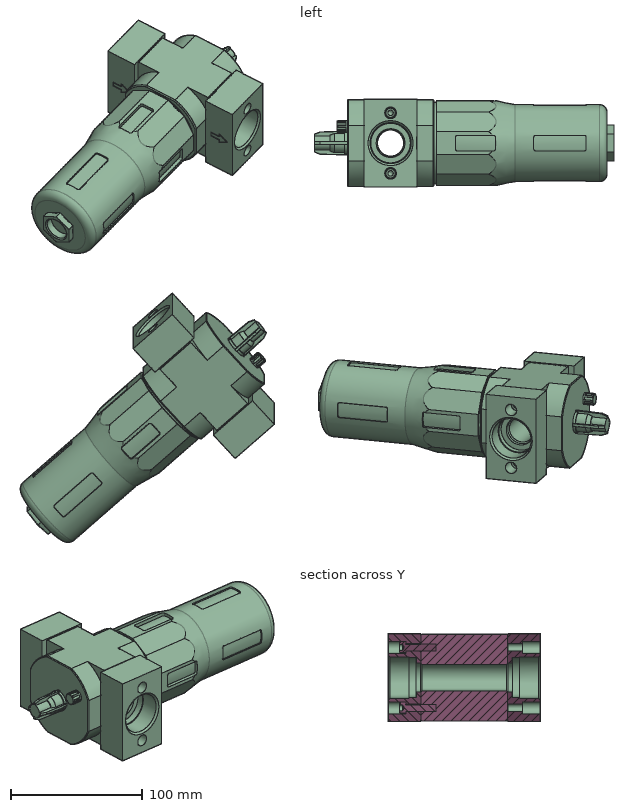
import cadquery as cq
import math


overall_length = 228.0
overall_width = 116.0
plate_height = 67.0

dome_top_y = 58.0
housing_top_y = 32.8
housing_bottom_y = -33.0
sleeve_top_y = -34.9
cone_end_y = -94.8
sleeve_end_y = -164.8
plug_end_y = dome_top_y - overall_length

housing_width = 66.3
housing_flat_width = 27.0
housing_radius = math.hypot(housing_width / 2, housing_flat_width / 2)
housing_top_chamfer = 0.7
housing_bottom_chamfer = 1.0
arm_length = 31.5
arm_chamfer = 1.0
neck_radius = 31.2
passage_diameter = 19.8
passage_mouth_diameter = 22.0

plate_length = 40.1
plate_inner_x = housing_width / 2
plate_outer_x = overall_width / 2
plate_thickness = plate_outer_x - plate_inner_x
thread_diameter = 31.2
thread_depth = 16.0
port_mouth_diameter = 34.2
port_chamfer = (port_mouth_diameter - thread_diameter) / 2
port_diameter = 30.0
port_depth = 21.5
arrow_length = 15.3
arrow_shaft_width = 3.6
arrow_head_width = 9.1
arrow_depth = 0.5

screw_offset = 23.0
screw_hole_diameter = 5.2
counterbore_diameter = 9.0
counterbore_depth = 13.7
screw_seat_x = -plate_outer_x + counterbore_depth
screw_diameter = 5.0
screw_length = 22.8
screw_head_diameter = 8.5
screw_head_height = 5.0
screw_head_chamfer = 0.7
screw_socket_diameter = 4.0
screw_socket_depth = 2.3
drill_tip_angle = 118.0

sleeve_sides = 12
sleeve_across_flats = 64.8
sleeve_radius = 29.5
cone_half_angle = 11.5
sleeve_end_fillet = 6.0
window_width = 11.9
window_corner_radius = 1.4
grip_window_top_y = -49.5
grip_window_bottom_y = -79.8
grip_window_floor_radius = 30.0
bowl_window_top_y = -109.0
bowl_window_bottom_y = -148.9
bowl_window_floor_radius = 28.3

plug_sides = 6
plug_across_flats = 24.0
plug_hole_diameter = 18.0
plug_hole_chamfer = 1.0
plug_hole_depth = 6.5
plug_spigot_diameter = 23.0
plug_spigot_length = 4.5

knob_x = -20.7
knob_z = 12.5
knob_diameter = 9.3
knob_height = 8.0
knob_chamfer = 0.7
knob_groove_count = 8
knob_groove_start_angle = 19.0
knob_groove_width = 2.0
knob_groove_depth = 0.57
knob_collar_height = 1.1

fin_thickness = 2.0
fin_base_half_width = 9.1
fin_shoulder_half_width = 8.55
fin_tip_half_width = 6.8
fin_bevel_height = 4.3
stem_radius = 5.5
dome_step_y = 46.3
dome_crown_radius = 6.05
dome_crown_height = 3.5
dome_radius = 7.4
dome_foot_radius = 8.2
dome_foot_height = 2.0


def disc(diameter, start_y, end_y):
    """Round bar along Y."""
    return cq.Workplane("XZ", origin=(0, start_y, 0)).circle(diameter / 2).extrude(start_y - end_y)


def prism(sides, across_flats, start_y, end_y, turn):
    """Regular prism along Y, turned about its axis by the given angle."""
    corner_diameter = across_flats / math.cos(math.pi / sides)
    blank = cq.Workplane("XZ", origin=(0, start_y, 0)).polygon(sides, corner_diameter)
    return blank.extrude(start_y - end_y).rotate((0, 0, 0), (0, 1, 0), turn)


def turned(points):
    """Body of revolution about the Y axis from (radius, y) points."""
    return cq.Workplane("XY").polyline(points).close().revolve(360, (0, 0, 0), (0, 1, 0))


def bar_x(diameter, start_x, end_x, z=0.0):
    """Round bar along X."""
    return cq.Workplane("YZ", origin=(start_x, 0, z)).circle(diameter / 2).extrude(end_x - start_x)


def make_housing():
    body = disc(2 * housing_radius, housing_top_y, housing_bottom_y)
    flats = cq.Workplane("XY").box(housing_width, 4 * housing_radius, housing_width)
    body = body.intersect(flats)
    body = body.faces(">Y").chamfer(housing_top_chamfer)
    body = body.faces("<Y").chamfer(housing_bottom_chamfer)

    arms = cq.Workplane("XY").box(housing_width, arm_length, housing_width)
    arms = arms.edges("|Y").chamfer(arm_chamfer)
    neck = disc(2 * neck_radius, housing_bottom_y, sleeve_top_y)
    body = body.union(arms).union(neck)

    passage = bar_x(passage_diameter, -plate_inner_x, plate_inner_x)
    body = body.cut(passage)
    mouth_chamfer = (passage_mouth_diameter - passage_diameter) / 2
    body = body.faces("<X or >X").edges("%CIRCLE").chamfer(mouth_chamfer)

    for z in (-screw_offset, screw_offset):
        body = body.cut(bar_x(screw_diameter, -plate_inner_x, screw_seat_x + screw_length, z))
    return body


def make_plate(side):
    """Port plate on the -X side (side = -1) or the +X side (side = 1)."""
    outer_x = side * plate_outer_x
    inner_x = side * plate_inner_x
    middle_x = (outer_x + inner_x) / 2
    plate = cq.Workplane("XY").box(plate_thickness, plate_length, plate_height)
    plate = plate.translate((middle_x, 0, 0))

    plate = plate.cut(bar_x(thread_diameter, outer_x, outer_x - side * thread_depth))
    outer_face = ">X" if side > 0 else "<X"
    plate = plate.faces(outer_face).edges("%CIRCLE").chamfer(port_chamfer)

    plate = plate.cut(bar_x(port_diameter, outer_x, outer_x - side * port_depth))
    plate = plate.cut(bar_x(passage_mouth_diameter, outer_x, inner_x))

    for z in (-screw_offset, screw_offset):
        plate = plate.cut(bar_x(screw_hole_diameter, outer_x, inner_x, z))
        plate = plate.cut(bar_x(counterbore_diameter, outer_x, outer_x - side * counterbore_depth, z))

    arrow = (
        cq.Workplane("XZ", origin=(middle_x, -plate_length / 2 + arrow_depth, 0))
        .polyline([
            (-arrow_length / 2, -arrow_shaft_width / 2),
            (0, -arrow_shaft_width / 2),
            (0, -arrow_head_width / 2),
            (arrow_length / 2, 0),
            (0, arrow_head_width / 2),
            (0, arrow_shaft_width / 2),
            (-arrow_length / 2, arrow_shaft_width / 2),
        ])
        .close()
        .extrude(arrow_depth)
    )
    return plate.cut(arrow)


def make_screw(z):
    """Socket screw along X with its head seated in the counterbore of the -X plate."""
    head_top_x = screw_seat_x - screw_head_height
    head = bar_x(screw_head_diameter, head_top_x, screw_seat_x, z)
    head = head.faces("<X").chamfer(screw_head_chamfer)
    shank = bar_x(screw_diameter, screw_seat_x, screw_seat_x + screw_length, z)

    socket_radius = screw_socket_diameter / 2
    tip_depth = screw_socket_depth + socket_radius / math.tan(math.radians(drill_tip_angle / 2))
    socket = (
        cq.Workplane("XY", origin=(head_top_x, 0, z))
        .polyline([(0, 0), (0, socket_radius), (screw_socket_depth, socket_radius), (tip_depth, 0)])
        .close()
        .revolve(360, (0, 0, 0), (1, 0, 0))
    )
    return head.union(shank).cut(socket)


def make_windows(top_y, bottom_y, floor_radius):
    """Four rounded windows at quarter turns, sunk to a common round floor."""
    length = top_y - bottom_y
    window = (
        cq.Workplane("XY")
        .box(window_width, length, sleeve_across_flats, centered=(True, True, False))
        .edges("|Z").fillet(window_corner_radius)
        .translate((0, (top_y + bottom_y) / 2, 0))
        .cut(disc(2 * floor_radius, top_y, bottom_y))
    )
    return [window.rotate((0, 0, 0), (0, 1, 0), 90 * quarter) for quarter in range(4)]


def make_sleeve():
    grip = prism(sleeve_sides, sleeve_across_flats, sleeve_top_y, sleeve_end_y, 180 / sleeve_sides)
    cone_widening = (sleeve_top_y - cone_end_y) * math.tan(math.radians(cone_half_angle))
    outline = turned([
        (0, sleeve_top_y),
        (sleeve_radius + cone_widening, sleeve_top_y),
        (sleeve_radius, cone_end_y),
        (sleeve_radius, sleeve_end_y),
        (0, sleeve_end_y),
    ])
    outline = outline.faces("<Y").edges().fillet(sleeve_end_fillet)
    sleeve = grip.intersect(outline)

    windows = make_windows(grip_window_top_y, grip_window_bottom_y, grip_window_floor_radius)
    windows += make_windows(bowl_window_top_y, bowl_window_bottom_y, bowl_window_floor_radius)
    for window in windows:
        sleeve = sleeve.cut(window)
    return sleeve.cut(plug_spigot())


def plug_spigot():
    """Round end of the drain plug, which is also the shape of its recess in the sleeve."""
    return disc(plug_spigot_diameter, sleeve_end_y + plug_spigot_length, sleeve_end_y)


def make_plug():
    """Hexagonal drain plug with a spigot set into the sleeve and a chamfered blind hole."""
    plug = prism(plug_sides, plug_across_flats, sleeve_end_y, plug_end_y, 180 / plug_sides)
    plug = plug.union(plug_spigot())
    plug = plug.cut(disc(plug_hole_diameter, plug_end_y + plug_hole_depth, plug_end_y))
    return plug.faces("<Y").edges("%CIRCLE").chamfer(plug_hole_chamfer)


def make_knob():
    """Filler knob with finger grooves above a plain collar."""
    top_y = housing_top_y + knob_height
    knob = disc(knob_diameter, top_y, housing_top_y).faces(">Y").chamfer(knob_chamfer)
    groove = (
        cq.Workplane("XY")
        .box(2 * knob_groove_depth, knob_height, knob_groove_width, centered=(True, False, True))
        .translate((knob_diameter / 2, housing_top_y + knob_collar_height, 0))
    )
    for index in range(knob_groove_count):
        angle = knob_groove_start_angle + 360 / knob_groove_count * index
        knob = knob.cut(groove.rotate((0, 0, 0), (0, 1, 0), -angle))
    return knob.translate((knob_x, 0, knob_z))


def make_dome():
    dome = turned([
        (0, housing_top_y),
        (dome_foot_radius, housing_top_y),
        (dome_foot_radius, housing_top_y + dome_foot_height),
        (dome_radius, housing_top_y + dome_foot_height),
        (dome_radius, dome_step_y - dome_crown_height),
        (dome_crown_radius, dome_step_y),
        (stem_radius, dome_step_y),
        (stem_radius, dome_top_y),
        (0, dome_top_y),
    ])

    bevel_y = dome_top_y - fin_bevel_height
    fin = (
        cq.Workplane("XY", origin=(0, 0, -fin_thickness / 2))
        .polyline([
            (-fin_base_half_width, housing_top_y),
            (fin_base_half_width, housing_top_y),
            (fin_shoulder_half_width, bevel_y),
            (fin_tip_half_width, dome_top_y),
            (-fin_tip_half_width, dome_top_y),
            (-fin_shoulder_half_width, bevel_y),
        ])
        .close()
        .extrude(fin_thickness)
    )
    crossing_fin = fin.rotate((0, 0, 0), (0, 1, 0), 90)
    return dome.union(fin).union(crossing_fin)


housing = make_housing()
plates = [make_plate(side) for side in (-1, 1)]
screws = [make_screw(z) for z in (-screw_offset, screw_offset)]
sleeve = make_sleeve()
drain_plug = make_plug()
filler_knob = make_knob()
sight_dome = make_dome()

result = cq.Compound.makeCompound([
    housing.val(),
    *[plate.val() for plate in plates],
    *[screw.val() for screw in screws],
    sleeve.val(),
    drain_plug.val(),
    filler_knob.val(),
    sight_dome.val(),
])